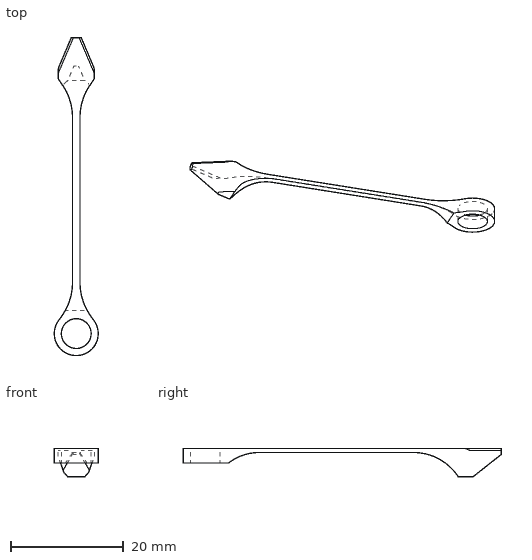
import cadquery as cq
import math

total_length = 56.4
ring_diameter = 7.85
hole_diameter = 5.25
ring_height = 2.6
handle_width = 1.35
handle_thickness = 0.75
neck_radius = 10.45

blade_width = 6.45
blade_depth = 5.0
blade_neck_start = 38.3
shoulder_y = 47.05
tip_half_width = 0.9
tip_depth = 1.05
keel_front_y = 47.5
keel_rear_y = 44.85
bevel_depth = 0.4
bevel_width = 0.4
keel_half_width = 1.5
flank_round = 0.8
prow_round = 0.45

ring_flat_end = 4.1
ring_arch_end = 9.55
blade_arch_end = 36.95

ring_radius = ring_diameter / 2
half_handle = handle_width / 2
half_blade = blade_width / 2
tip_y = total_length - ring_radius
edge_slope = (half_blade - tip_half_width) / (tip_y - shoulder_y)


def arch_point(y, tangent_y, radius, direction):
    """Point on an underside arc that is tangent to the handle at tangent_y."""
    drop = radius - math.sqrt(radius**2 - (y - tangent_y) ** 2)
    return y, direction * (handle_thickness + drop)


def arch_radius(run, rise):
    return (run**2 + rise**2) / (2 * rise)


def plan_body():
    """Plan outline of ring, handle and blade, extruded to the full depth."""
    neck_x = half_handle + neck_radius
    ring_neck_y = math.sqrt((ring_radius + neck_radius) ** 2 - neck_x**2)
    ring_share = ring_radius / (ring_radius + neck_radius)
    tangent_x = neck_x * ring_share
    tangent_y = ring_neck_y * ring_share
    tangent_angle = math.atan2(ring_neck_y, neck_x)
    ring_mid_angle = math.pi + tangent_angle / 2
    ring_mid_x = neck_x + neck_radius * math.cos(ring_mid_angle)
    ring_mid_y = ring_neck_y + neck_radius * math.sin(ring_mid_angle)

    blade_angle = math.acos((neck_x - half_blade) / neck_radius)
    blade_neck_end = blade_neck_start + neck_radius * math.sin(blade_angle)
    blade_mid_x = neck_x - neck_radius * math.cos(blade_angle / 2)
    blade_mid_y = blade_neck_start + neck_radius * math.sin(blade_angle / 2)

    half = (
        cq.Workplane("XY")
        .moveTo(0, -ring_radius)
        .threePointArc((ring_radius, 0), (tangent_x, tangent_y))
        .threePointArc((ring_mid_x, ring_mid_y), (half_handle, ring_neck_y))
        .lineTo(half_handle, blade_neck_start)
        .threePointArc((blade_mid_x, blade_mid_y), (half_blade, blade_neck_end))
        .lineTo(half_blade, shoulder_y)
        .lineTo(tip_half_width, tip_y)
        .lineTo(0, tip_y)
        .close()
        .extrude(-blade_depth)
    )
    return half.union(half.mirror("YZ"))


def side_profile():
    """Lengthwise profile with an arched underside at each end of the handle."""
    ring_run = ring_arch_end - ring_flat_end
    ring_arch = arch_radius(ring_run, ring_height - handle_thickness)
    ring_mid = arch_point(ring_arch_end - ring_run / 2, ring_arch_end, ring_arch, -1)
    blade_run = keel_rear_y - blade_arch_end
    blade_arch = arch_radius(blade_run, blade_depth - handle_thickness)
    blade_mid = arch_point(blade_arch_end + blade_run / 2, blade_arch_end, blade_arch, -1)
    return (
        cq.Workplane("YZ")
        .moveTo(-ring_radius, 0)
        .lineTo(-ring_radius, -ring_height)
        .lineTo(ring_flat_end, -ring_height)
        .threePointArc(ring_mid, (ring_arch_end, -handle_thickness))
        .lineTo(blade_arch_end, -handle_thickness)
        .threePointArc(blade_mid, (keel_rear_y, -blade_depth))
        .lineTo(keel_front_y, -blade_depth)
        .lineTo(tip_y, -tip_depth)
        .lineTo(tip_y, 0)
        .close()
        .extrude(ring_diameter, both=True)
    )


def outer_side(point, normal):
    """Large block beyond the plane through point, on the side normal points to."""
    plane = cq.Plane(origin=point, normal=normal)
    return cq.Workplane(plane).rect(total_length, total_length).extrude(total_length)


def cut_both_sides(body, cutter):
    return body.cut(cutter).cut(cutter.mirror("YZ"))


def shape_blade(body):
    """Bevel the upper blade edges and taper the flanks down to the keel."""
    edge_point = (half_blade, shoulder_y, -bevel_depth)
    bevel_normal = (1, edge_slope, bevel_width / bevel_depth)
    body = cut_both_sides(body, outer_side(edge_point, bevel_normal))

    half_at_keel_rear = half_blade + edge_slope * (shoulder_y - keel_rear_y)
    taper = (half_at_keel_rear - keel_half_width) / (blade_depth - bevel_depth)
    flank_normal = (1, edge_slope, -taper)
    return cut_both_sides(body, outer_side(edge_point, flank_normal))


def round_edges(body, lower, upper, radius):
    """Round the edges centred between two corners, and their mirror images."""
    near = cq.selectors.BoxSelector(lower, upper)
    far = cq.selectors.BoxSelector((-lower[0], *lower[1:]), (-upper[0], *upper[1:]))
    return body.edges(near + far).fillet(radius)


def round_blade(body):
    """Round the edges behind each flank and those beside the sloping front."""
    rear_lower = (keel_half_width, keel_rear_y - 0.55, -blade_depth / 2 - 0.55)
    rear_upper = (half_blade + 0.55, shoulder_y, -bevel_depth)
    body = round_edges(body, rear_lower, rear_upper, flank_round)

    prow_lower = (0.05, keel_front_y + 0.55, -blade_depth + 0.55)
    prow_upper = (tip_half_width, tip_y - 0.55, -tip_depth - 0.55)
    return round_edges(body, prow_lower, prow_upper, prow_round)


body = plan_body().intersect(side_profile())
body = shape_blade(body)
body = round_blade(body)
result = body.cut(cq.Workplane("XY").circle(hole_diameter / 2).extrude(-ring_height))